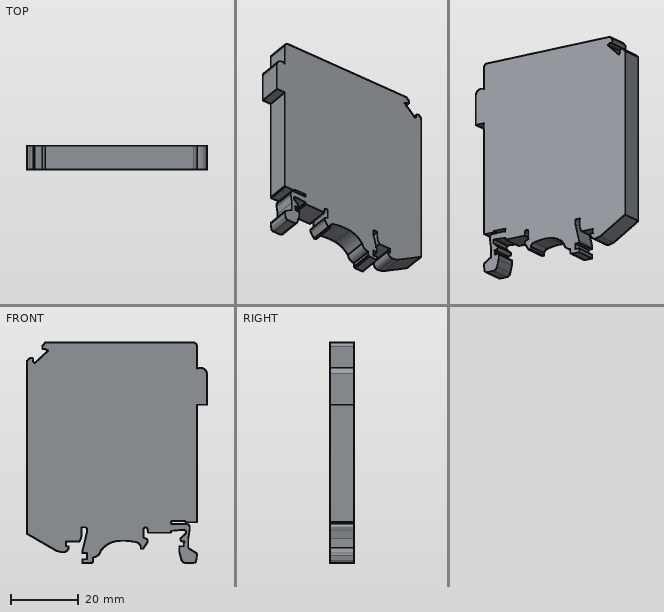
import cadquery as cq

total_width = 53.5
total_height = 65.55
thickness = 7.15

body_right = 50.55
body_bottom = 12.05
top_corner_radius = 1.2
tab_bottom = 47.0
tab_shoulder = 57.75
tab_crown = (51.7, 58.0)
tab_crown_end = 56.3
bottom_corner = 0.2

step_z = 8.9
flexure_top = 11.6
slot_top = 12.45
slot_left = 43.05
slot_end_bulge = 0.25
gap_top = 10.55
ledge_z = 6.35
lip_z = 5.05

left_top = 60.05
left_bottom = 8.65
left_notch_x = 11.6

foot_left = 16.45
foot_right = 19.65
foot_notch_x = 17.75
foot_notch_bottom = 1.2
foot_notch_top = 2.95
foot_heel_z = 1.65
foot_corner = 0.4

hook_left = 33.75
hook_right = 35.8
hook_tip_z = 4.2
hook_gap_left = 34.7
arch_top = 6.5


def upper_edges(outline):
    """Label seat at the upper left, top face, upper right corner and side tab."""
    top_corner_x = body_right - top_corner_radius
    top_corner_z = total_height - top_corner_radius
    return (
        outline
        .lineTo(0.8, 60.8)
        .threePointArc((1.5, 60.95), (1.9, 60.4))
        .lineTo(1.85, 59.9)
        .lineTo(2.3, 59.4)
        .lineTo(6.2, 63.05)
        .lineTo(5.7, 63.3)
        .lineTo(5.3, 63.65)
        .lineTo(4.85, 63.45)
        .threePointArc((4.5, 63.85), (4.6, 64.5))
        .lineTo(5.45, total_height)
        .lineTo(top_corner_x, total_height)
        .radiusArc((body_right, top_corner_z), top_corner_radius)
        .lineTo(body_right, tab_shoulder)
        .threePointArc(tab_crown, (total_width, tab_crown_end))
        .lineTo(total_width, tab_bottom)
        .lineTo(body_right, tab_bottom)
    )


def release_latch(outline):
    """Slot under the housing and the flexible latch hanging at the right."""
    slot_middle = (slot_top + flexure_top) / 2
    return (
        outline
        .lineTo(body_right, body_bottom + bottom_corner)
        .lineTo(body_right - bottom_corner, body_bottom)
        .lineTo(47.25, body_bottom)
        .lineTo(46.9, slot_top)
        .lineTo(slot_left, slot_top)
        .threePointArc((slot_left - slot_end_bulge, slot_middle), (slot_left, flexure_top))
        .lineTo(47.3, flexure_top)
        .threePointArc((48.1, 11.3), (48.4, 10.5))
        .lineTo(48.4, 9.9)
        .lineTo(48.0, 7.35)
        .lineTo(48.0, 4.45)
        .lineTo(50.15, 3.1)
        .threePointArc((50.5, 2.75), (body_right, 2.3))
        .lineTo(50.35, 0.85)
        .threePointArc((50.1, 0.25), (49.4, 0))
        .lineTo(47.0, 0)
        .threePointArc((46.3, 0.3), (45.8, 1.05))
        .lineTo(45.2, 3.35)
        .lineTo(45.2, 4.9)
        .lineTo(45.6, lip_z)
        .lineTo(46.55, lip_z)
        .lineTo(46.55, 5.85)
        .lineTo(46.8, ledge_z)
        .lineTo(46.15, ledge_z)
        .threePointArc((45.6, 6.75), (45.6, 7.35))
        .lineTo(46.8, 8.45)
        .threePointArc((47.2, 9.25), (46.8, 9.75))
        .lineTo(45.75, 9.75)
        .lineTo(42.9, 9.5)
        .lineTo(42.75, step_z)
    )


def rail_hook(outline):
    """Hook beside the step, with a round-topped gap behind it."""
    return (
        outline
        .lineTo(36.0, step_z)
        .lineTo(hook_right, 9.9)
        .threePointArc((35.2, gap_top), (hook_gap_left, 9.95))
        .lineTo(hook_gap_left, 7.55)
        .lineTo(35.2, 7.35)
        .threePointArc((hook_right, 6.9), (hook_right, 6.1))
        .lineTo(34.5, hook_tip_z)
        .lineTo(hook_left, hook_tip_z)
        .lineTo(hook_left, lip_z)
    )


def arch_and_left_foot(outline):
    """Arch between the hook and the left foot, then the notched foot."""
    return (
        outline
        .threePointArc((33.35, 5.65), (32.45, 6.15))
        .threePointArc((30.5, arch_top), (26.75, arch_top))
        .threePointArc((23.85, 5.45), (21.95, 3.7))
        .threePointArc((21.1, 2.2), (foot_right, foot_heel_z))
        .lineTo(foot_right, foot_corner)
        .lineTo(foot_right - foot_corner, 0)
        .lineTo(foot_left, 0)
        .lineTo(foot_left, foot_notch_bottom)
        .lineTo(foot_notch_x, foot_notch_bottom)
        .lineTo(foot_notch_x, foot_notch_top)
        .lineTo(foot_left, foot_notch_top)
        .lineTo(foot_left, 3.6)
    )


def left_hook(outline):
    """Narrow gap beside the foot, then the hook and the sloped lower left edge."""
    return (
        outline
        .lineTo(foot_notch_x, 9.05)
        .lineTo(foot_notch_x, 10.0)
        .threePointArc((17.65, 10.4), (17.25, gap_top))
        .lineTo(16.25, gap_top)
        .lineTo(16.25, 8.5)
        .threePointArc((16.05, 7.35), (15.55, ledge_z))
        .lineTo(left_notch_x, ledge_z)
        .lineTo(left_notch_x, lip_z)
        .lineTo(12.45, lip_z)
        .threePointArc((11.9, 3.7), (10.55, 3.15))
        .lineTo(8.85, 3.55)
        .lineTo(0, left_bottom)
    )


outline = cq.Workplane("XZ").moveTo(0, left_top)
outline = upper_edges(outline)
outline = release_latch(outline)
outline = rail_hook(outline)
outline = arch_and_left_foot(outline)
outline = left_hook(outline)

result = outline.close().extrude(thickness)